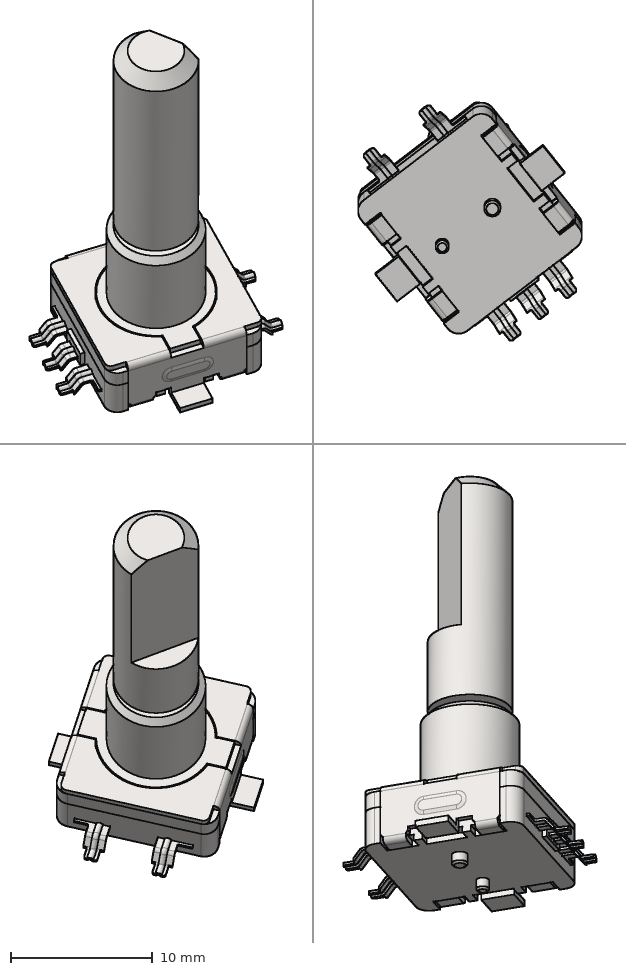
import cadquery as cq
import math


BODY_X = 11.75
BODY_Y = 11.9
CORNER_RADIUS = 1.0
SPLIT_Z = 2.82
BODY_TOP = 4.5
FRAME_SHEET = 0.45
SHOULDER_Z = BODY_TOP - FRAME_SHEET

FRAME_X = BODY_X / 2
PANEL_INNER_X = FRAME_X - FRAME_SHEET
PANEL_HALF_Y = 4.5
PLATE_CORNER_RADIUS = 0.45
OPENING_RADIUS = 4.3
OPENING_HALF_Y = 1.25
OPENING_GAP = 0.1
TAB_END_X = 15.0 / 2
TAB_HALF_Y = 1.25
CLAW_INNER_Y = 2.6
CLAW_OUTER_Y = 4.33
CLAW_CORNER = 0.18
CLAW_REACH = 0.9
NOTCH_TOP = 0.95
NOTCH_OUTER_Y = CLAW_INNER_Y - CLAW_CORNER
EMBOSS_Z = 2.4
EMBOSS_HEIGHT = 0.1
EMBOSS_LENGTH = 3.9
EMBOSS_WIDTH = 1.42
EMBOSS_SLOPE = 0.3

CLAW_RECESS_INNER_Y = 2.15
TAB_RECESS_HALF_Y = 1.5

BUSHING_DIAMETER = 7.0
BUSHING_TOP = 11.48
BUSHING_CHAMFER = 0.48
NECK_DIAMETER = 3.0
SHAFT_DIAMETER = 6.0
SHAFT_BOTTOM = 12.0
SHAFT_TOP = 29.48
SHAFT_CHAMFER = 1.0
FLAT_LENGTH = 12.0
FLAT_OFFSET = 1.5
FLAT_ANGLE = 129.5

PEG_LENGTH = 0.82
PEG_CHAMFER = 0.15
PEGS = [(-2.0, 1.15), (2.48, 0.95)]

SIDE_LEAD_X = 5.0 / 2
LEAD_SHEET = 0.2
LEAD_Z = 1.1
FOOT_Z = 0.3
LEAD_START_Y = 4.97
LEAD_BEND_Y = 6.95
FOOT_BEND_Y = 7.58
LEAD_END_Y = 17.0 / 2
LEAD_NECK_Y = 7.58
LEAD_BEND_RADIUS = 0.3
TIP_RADIUS = 0.18
RIDGE_HALF_WIDTH = 0.25
RIDGE_RISE = 0.18
GROOVE_HALF_WIDTH = 0.18
GROOVE_RISE = 0.12
SIDE_LEAD_WIDTH = 1.5
SIDE_TIP_WIDTH = 0.97
MIDDLE_LEAD_WIDTH = 1.6
MIDDLE_TIP_WIDTH = 0.88
WING_END_X = 4.33
WING_END_Y = 6.15
WING_FILLET = 0.12

BOSS_WIDTH = 2.48
BOSS_BOTTOM = 0.73
BOSS_TOP = 1.9
BOSS_PROTRUSION = 0.33


def block(x_min, x_max, y_min, y_max, z_min, z_max):
    """Box between the given limits."""
    size = (x_max - x_min, y_max - y_min, z_max - z_min)
    return cq.Workplane("XY").box(*size, centered=False).translate((x_min, y_min, z_min))


def body_block(z_min, z_max):
    """Slice of the moulded body, recessed for the frame's side panels."""
    solid = (
        cq.Workplane("XY", origin=(0, 0, z_min))
        .rect(BODY_X, BODY_Y)
        .extrude(z_max - z_min)
        .edges("|Z")
        .fillet(CORNER_RADIUS)
    )
    recess = block(PANEL_INNER_X, FRAME_X, -PANEL_HALF_Y, PANEL_HALF_Y, z_min, z_max)
    return solid.cut(recess).cut(recess.mirror("YZ"))


def island(radius, half_y, half_x):
    """Disc crossed by a strip along X, one frame sheet thick, at the body top."""
    level = cq.Workplane("XY", origin=(0, 0, SHOULDER_Z))
    disc = level.circle(radius).extrude(FRAME_SHEET)
    strip = level.rect(2 * half_x, 2 * half_y).extrude(FRAME_SHEET)
    return disc.union(strip)


def make_cover():
    """Upper body with the raised island and the bushing, bored for the shaft neck."""
    bushing = (
        cq.Workplane("XY", origin=(0, 0, SHOULDER_Z))
        .circle(BUSHING_DIAMETER / 2)
        .extrude(BUSHING_TOP - SHOULDER_Z)
        .faces(">Z")
        .chamfer(BUSHING_CHAMFER)
    )
    neck_bore = (
        cq.Workplane("XY", origin=(0, 0, BODY_TOP))
        .circle(NECK_DIAMETER / 2)
        .extrude(BUSHING_TOP - BODY_TOP)
    )
    raised = island(OPENING_RADIUS - OPENING_GAP, OPENING_HALF_Y - OPENING_GAP, PANEL_INNER_X)
    return body_block(SPLIT_Z, SHOULDER_Z).union(raised).union(bushing).cut(neck_bore)


def make_shaft():
    """Shaft with a chamfered end, a flat and a thin neck that sits in the bushing."""
    rod = (
        cq.Workplane("XY", origin=(0, 0, SHAFT_BOTTOM))
        .circle(SHAFT_DIAMETER / 2)
        .extrude(SHAFT_TOP - SHAFT_BOTTOM)
        .faces(">Z")
        .chamfer(SHAFT_CHAMFER)
    )
    neck = (
        cq.Workplane("XY", origin=(0, 0, BODY_TOP))
        .circle(NECK_DIAMETER / 2)
        .extrude(SHAFT_BOTTOM - BODY_TOP)
    )
    flat_cut = block(
        FLAT_OFFSET, SHAFT_DIAMETER, -SHAFT_DIAMETER, SHAFT_DIAMETER, SHAFT_TOP - FLAT_LENGTH, SHAFT_TOP
    ).rotate((0, 0, 0), (0, 0, 1), FLAT_ANGLE)
    return rod.cut(flat_cut).union(neck)


def claw_panel():
    """Side panel at +X with its top bend and its lower edge folded under the base."""
    folded_strip = (
        cq.Workplane("XZ", origin=(0, PANEL_HALF_Y, 0))
        .moveTo(PANEL_INNER_X, BODY_TOP)
        .radiusArc((FRAME_X, SHOULDER_Z), FRAME_SHEET)
        .lineTo(FRAME_X, FRAME_SHEET)
        .radiusArc((PANEL_INNER_X, 0), FRAME_SHEET)
        .lineTo(PANEL_INNER_X - CLAW_REACH, 0)
        .lineTo(PANEL_INNER_X - CLAW_REACH, FRAME_SHEET)
        .lineTo(PANEL_INNER_X, FRAME_SHEET)
        .close()
        .extrude(2 * PANEL_HALF_Y)
    )
    claw_step_z = FRAME_SHEET + CLAW_CORNER
    half_outline = [
        (0, BODY_TOP),
        (PANEL_HALF_Y, BODY_TOP),
        (PANEL_HALF_Y, claw_step_z),
        (CLAW_OUTER_Y, FRAME_SHEET),
        (CLAW_OUTER_Y, 0),
        (CLAW_INNER_Y, 0),
        (CLAW_INNER_Y, FRAME_SHEET),
        (NOTCH_OUTER_Y, claw_step_z),
        (NOTCH_OUTER_Y, NOTCH_TOP),
        (TAB_HALF_Y, NOTCH_TOP),
        (TAB_HALF_Y, FRAME_SHEET),
        (0, FRAME_SHEET),
    ]
    outline = cq.Workplane("YZ").polyline(half_outline).close().extrude(FRAME_X)
    return folded_strip.intersect(outline.union(outline.mirror("XZ")))


def emboss():
    """Oblong bump with a sloping border on the +X side panel."""
    return (
        cq.Workplane("YZ", origin=(FRAME_X, 0, EMBOSS_Z))
        .slot2D(EMBOSS_LENGTH, EMBOSS_WIDTH)
        .workplane(offset=EMBOSS_HEIGHT)
        .slot2D(EMBOSS_LENGTH - 2 * EMBOSS_SLOPE, EMBOSS_WIDTH - 2 * EMBOSS_SLOPE)
        .loft()
    )


def make_frame():
    """Bent sheet frame: top plate, two side panels, mounting tabs and claws."""
    plate = (
        cq.Workplane("XY", origin=(0, 0, SHOULDER_Z))
        .rect(2 * PANEL_INNER_X, BODY_Y)
        .extrude(FRAME_SHEET)
        .edges("|Z")
        .fillet(PLATE_CORNER_RADIUS)
    )
    tab = block(PANEL_INNER_X, TAB_END_X, -TAB_HALF_Y, TAB_HALF_Y, 0, FRAME_SHEET)
    side = claw_panel().union(tab).union(emboss())
    opening = island(OPENING_RADIUS, OPENING_HALF_Y, FRAME_X)
    return plate.union(side).union(side.mirror("YZ")).cut(opening)


def ridged_section(width):
    """Closed cross-section of a lead: flat sheet with a pressed rounded ridge."""
    top = LEAD_Z + LEAD_SHEET / 2
    bottom = LEAD_Z - LEAD_SHEET / 2
    return (
        cq.Workplane("XZ", origin=(0, -LEAD_START_Y, 0))
        .moveTo(-width / 2, bottom)
        .lineTo(-GROOVE_HALF_WIDTH, bottom)
        .threePointArc((0, bottom + GROOVE_RISE), (GROOVE_HALF_WIDTH, bottom))
        .lineTo(width / 2, bottom)
        .lineTo(width / 2, top)
        .lineTo(RIDGE_HALF_WIDTH, top)
        .threePointArc((0, top + RIDGE_RISE), (-RIDGE_HALF_WIDTH, top))
        .lineTo(-width / 2, top)
        .close()
    )


def lead_path():
    """Centre line of a lead: out of the body, down a slope and out along the foot."""
    slope = math.atan2(LEAD_Z - FOOT_Z, FOOT_BEND_Y - LEAD_BEND_Y)
    tangent = LEAD_BEND_RADIUS * math.tan(slope / 2)
    along_y = tangent * math.cos(slope)
    along_z = tangent * math.sin(slope)
    return (
        cq.Workplane("YZ")
        .moveTo(-LEAD_START_Y, LEAD_Z)
        .lineTo(-LEAD_BEND_Y + tangent, LEAD_Z)
        .tangentArcPoint((-LEAD_BEND_Y - along_y, LEAD_Z - along_z), relative=False)
        .lineTo(-FOOT_BEND_Y + along_y, FOOT_Z + along_z)
        .tangentArcPoint((-FOOT_BEND_Y - tangent, FOOT_Z), relative=False)
        .lineTo(-LEAD_END_Y, FOOT_Z)
    )


def make_lead(width, tip_width):
    """Terminal on the -Y side at X = 0, with a narrow tip rounded in plan."""
    strip = ridged_section(width).sweep(lead_path())
    wide_plan = block(-width / 2, width / 2, -LEAD_NECK_Y, -LEAD_START_Y, 0, SPLIT_Z)
    tip_plan = (
        block(-tip_width / 2, tip_width / 2, -LEAD_END_Y, -LEAD_START_Y, 0, SPLIT_Z)
        .edges("|Z and <Y")
        .fillet(TIP_RADIUS)
    )
    return strip.intersect(wide_plan.union(tip_plan))


def make_side_lead():
    """Terminal on the -Y side at +X, with a flat wing along the body wall."""
    lead = make_lead(SIDE_LEAD_WIDTH, SIDE_TIP_WIDTH).translate((SIDE_LEAD_X, 0, 0))
    lead_edge_x = SIDE_LEAD_X + SIDE_LEAD_WIDTH / 2
    wing = (
        cq.Workplane("XY", origin=(0, 0, LEAD_Z - LEAD_SHEET / 2))
        .moveTo(lead_edge_x, -LEAD_START_Y)
        .lineTo(WING_END_X, -LEAD_START_Y)
        .lineTo(WING_END_X, -WING_END_Y)
        .lineTo(lead_edge_x + WING_FILLET, -WING_END_Y)
        .radiusArc((lead_edge_x, -WING_END_Y - WING_FILLET), -WING_FILLET)
        .close()
        .extrude(LEAD_SHEET)
    )
    return lead.union(wing)


def make_base(terminals):
    """Lower body with pegs, the middle terminal's boss and seats for frame and terminals."""
    base = body_block(0, SPLIT_Z)

    boss = block(
        -BOSS_WIDTH / 2, BOSS_WIDTH / 2, -BODY_Y / 2 - BOSS_PROTRUSION, -LEAD_START_Y, BOSS_BOTTOM, BOSS_TOP
    )
    base = base.union(boss)

    for peg_x, diameter in PEGS:
        peg = (
            cq.Workplane("XY", origin=(peg_x, 0, -PEG_LENGTH))
            .circle(diameter / 2)
            .extrude(PEG_LENGTH)
            .faces("<Z")
            .chamfer(PEG_CHAMFER)
        )
        base = base.union(peg)

    recess_spans = [
        (-PANEL_HALF_Y, -CLAW_RECESS_INNER_Y),
        (-TAB_RECESS_HALF_Y, TAB_RECESS_HALF_Y),
        (CLAW_RECESS_INNER_Y, PANEL_HALF_Y),
    ]
    for y_min, y_max in recess_spans:
        recess = block(PANEL_INNER_X - CLAW_REACH, PANEL_INNER_X, y_min, y_max, 0, FRAME_SHEET)
        base = base.cut(recess).cut(recess.mirror("YZ"))

    for terminal in terminals:
        base = base.cut(terminal)
    return base


side_lead = make_side_lead()
terminals = [make_lead(MIDDLE_LEAD_WIDTH, MIDDLE_TIP_WIDTH)]
for near_lead in (side_lead, side_lead.mirror("YZ")):
    terminals.append(near_lead)
    terminals.append(near_lead.mirror("XZ"))

base = make_base(terminals)
cover = make_cover()
frame = make_frame()
shaft = make_shaft()

result = cq.Compound.makeCompound(
    [body.solids().val() for body in (base, cover, frame, shaft, *terminals)]
)